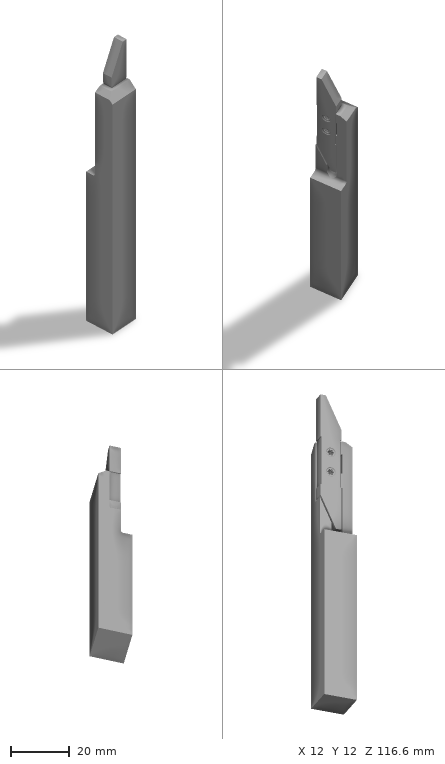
import cadquery as cq

width = 12.0
holder_top = 100.0
step_top = 63.1
third = width / 3
seat_x = third
step_fillet = 0.9
side_chamfer = 2.8
front_chamfer_y = 2.6
front_chamfer_z = 1.5

overall_height = 116.6
blade_thickness = third
blade_length = 50.4
blade_front = 4.1
blade_back = 11.8
tip_width = 2.0
tip_height = 12.1
notch_length = 18.2
notch_depth = 0.3
blade_bottom = overall_height - blade_length
blade_mid_y = (blade_front + blade_back) / 2
blade_mid_z = overall_height - blade_length / 2
notch_bottom = blade_mid_z - notch_length / 2
notch_top = blade_mid_z + notch_length / 2

pocket_front = 3.7
slot_width = 4.0
slot_bottom = step_top
slope_gap = 0.7
pad_reach = 0.5
pad_gap = 7.2
pocket_floor = seat_x + blade_thickness
slot_radius = slot_width / 2
slot_back = pocket_front + slot_width

screw_spacing = 7.5
countersink_radius = 1.7
head_sink = 0.2
shank_radius = 0.9
screw_length = 6.4
socket_depth = 1.0
socket_radius = 0.8
lobe_radius = 0.3
lobe_count = 6
socket_point = 0.5
head_radius = countersink_radius - head_sink
head_x = seat_x + head_sink
screw_heights = [blade_mid_z - screw_spacing / 2, blade_mid_z + screw_spacing / 2]


def yz_prism(points, x_start, x_length):
    """Straight-sided outline in Y and Z, extruded along +X."""
    return cq.Workplane("YZ", origin=(x_start, 0, 0)).polyline(points).close().extrude(x_length)


def make_countersunk_pin(z, x_start, rim_radius):
    """45 degree countersunk pin along X, from x_start to the screw's end."""
    cone_depth = rim_radius - shank_radius
    length = head_x + screw_length - x_start
    profile = [
        (0, 0),
        (0, rim_radius),
        (cone_depth, shank_radius),
        (length, shank_radius),
        (length, 0),
    ]
    pin = cq.Workplane("XY").polyline(profile).close().revolve(360, (0, 0, 0), (1, 0, 0))
    return pin.translate((x_start, blade_mid_y, z))


def make_screw_hole(z):
    return make_countersunk_pin(z, seat_x, countersink_radius)


def make_socket(z):
    """Six-lobe screw socket with a conical bottom."""
    face = cq.Workplane("YZ", origin=(head_x, blade_mid_y, z))
    socket = face.circle(socket_radius).extrude(socket_depth)
    lobes = face.polarArray(socket_radius, 0, 360, lobe_count).circle(lobe_radius).extrude(socket_depth)
    cone = cq.Solid.makeCone(
        socket_radius,
        0,
        socket_point,
        pnt=cq.Vector(head_x + socket_depth, blade_mid_y, z),
        dir=cq.Vector(1, 0, 0),
    )
    return socket.union(lobes).union(cq.Workplane(cone))


def make_screw(z):
    return make_countersunk_pin(z, head_x, head_radius).cut(make_socket(z))


def make_blade():
    half_outline = [
        (blade_back, overall_height),
        (blade_back - tip_width, overall_height),
        (blade_front, overall_height - tip_height),
        (blade_front, notch_top),
        (blade_front + notch_depth, notch_top),
        (blade_front + notch_depth, notch_bottom),
        (blade_front, notch_bottom),
    ]
    turned_half = [(2 * blade_mid_y - y, 2 * blade_mid_z - z) for y, z in half_outline]
    blade = yz_prism(half_outline + turned_half, seat_x, blade_thickness)
    for z in screw_heights:
        blade = blade.cut(make_screw_hole(z))
    return blade


def make_holder_body():
    body = (
        cq.Workplane("XZ")
        .moveTo(0, 0)
        .lineTo(width, 0)
        .lineTo(width, holder_top - side_chamfer)
        .lineTo(width - side_chamfer, holder_top)
        .lineTo(seat_x, holder_top)
        .lineTo(seat_x, step_top + step_fillet)
        .radiusArc((seat_x - step_fillet, step_top), step_fillet)
        .lineTo(0, step_top)
        .close()
        .extrude(-width)
    )
    front_wedge = [
        (0, holder_top - front_chamfer_z),
        (front_chamfer_y, holder_top),
        (0, holder_top),
    ]
    return body.cut(yz_prism(front_wedge, 0, width))


def make_pocket():
    """Space for the blade, open at the top and at the +Y side."""
    slope = tip_height / (blade_back - blade_front - tip_width)
    wall_start_y = blade_front + tip_width + slope_gap
    slot_corner_z = blade_bottom + slope * (slot_back - wall_start_y)
    wall_end_z = blade_bottom + slope * (width - wall_start_y)
    slot_center_z = slot_bottom + slot_radius
    pocket = (
        cq.Workplane("YZ")
        .moveTo(pocket_front, holder_top)
        .lineTo(pocket_front, slot_center_z)
        .threePointArc((pocket_front + slot_radius, slot_bottom), (slot_back, slot_center_z))
        .lineTo(slot_back, slot_corner_z)
        .lineTo(width, wall_end_z)
        .lineTo(width, holder_top)
        .close()
        .extrude(pocket_floor)
    )
    lower_pad_top = blade_mid_z - pad_gap / 2
    upper_pad_bottom = blade_mid_z + pad_gap / 2
    for z_low, z_high in [(notch_bottom, lower_pad_top), (upper_pad_bottom, holder_top)]:
        pad = cq.Workplane("XY").box(pocket_floor, pad_reach, z_high - z_low, centered=False)
        pocket = pocket.cut(pad.translate((0, pocket_front, z_low)))
    return pocket


def make_holder():
    holder = make_holder_body().cut(make_pocket())
    for z in screw_heights:
        holder = holder.cut(make_screw_hole(z))
    return holder


holder = make_holder()
blade = make_blade()
screws = [make_screw(z) for z in screw_heights]

result = cq.Compound.makeCompound([holder.val(), blade.val(), *[screw.val() for screw in screws]])